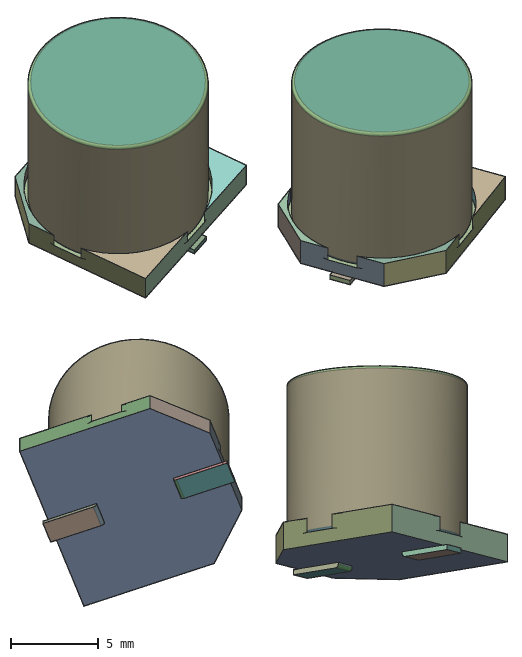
import cadquery as cq

lead_span = 11.2
base_side = 10.6
total_height = 10.5

lead_thickness = 0.3
lead_width = 1.28
lead_gap = 4.66
lead_corner_radius = 0.2

base_height = 1.61
corner_cut = 2.67
recess_diameter = 10.75
recess_depth = 0.83

can_diameter = 10.3
can_edge_radius = 0.17

base_top = lead_thickness + base_height
recess_floor = base_top - recess_depth


def make_base():
    """Square plate with the two -X corners cut off and a round recess.

    The recess is wider than the plate, so it opens a notch in each side.
    """
    plate = (
        cq.Workplane("XY", origin=(0, 0, lead_thickness))
        .rect(base_side, base_side)
        .extrude(base_height)
        .edges("|Z and <X")
        .chamfer(corner_cut)
    )
    recess = (
        cq.Workplane("XY", origin=(0, 0, recess_floor))
        .circle(recess_diameter / 2)
        .extrude(recess_depth)
    )
    return plate.cut(recess)


def make_can():
    """Cylinder with rounded rims, standing on the recess floor."""
    return (
        cq.Workplane("XY", origin=(0, 0, recess_floor))
        .circle(can_diameter / 2)
        .extrude(total_height - recess_floor)
        .edges("%CIRCLE")
        .fillet(can_edge_radius)
    )


def make_lead(side):
    """Flat lead under the base; side is -1 for the -X end and 1 for the +X end."""
    lead_length = (lead_span - lead_gap) / 2
    lead_center = side * (lead_span + lead_gap) / 4
    inner_bottom_edge = "<Z and >X" if side < 0 else "<Z and <X"
    return (
        cq.Workplane("XY")
        .center(lead_center, 0)
        .rect(lead_length, lead_width)
        .extrude(lead_thickness)
        .edges(inner_bottom_edge)
        .fillet(lead_corner_radius)
    )


base = make_base()
can = make_can()
leads = [make_lead(side) for side in (-1, 1)]

result = cq.Compound.makeCompound([base.val(), can.val(), *[lead.val() for lead in leads]])